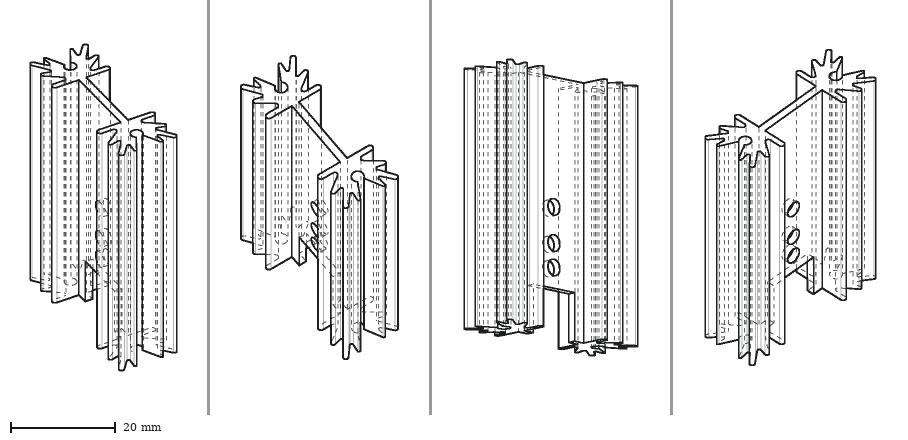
import cadquery as cq
import math

LENGTH = 50.8
WIDTH = 34.9
DEPTH = 12.7
HALF_WIDTH = WIDTH / 2
HALF_DEPTH = DEPTH / 2

WEB_THICKNESS = 1.65
COLUMN_SPACING = 15.95
NOTCH_WIDTH = 11.1
NOTCH_HEIGHT = 9.5
WEB_HOLE_DIAMETER = 3.2
WEB_HOLE_HEIGHTS = (13.55, 18.35, 25.4)

CHANNEL_X = -12.65
CHANNEL_RADIUS = 1.2
MOUTH_HALF_GAP = 0.7

SIDE_TIP_RADIUS = 0.3
SIDE_TIP_Y = 2.9
CORNER_TIP_RADIUS = 0.55
SPUR_TIP_RADIUS = 0.45
SPUR_TIP_X = -12.9
STRAIGHT_FIN_THICKNESS = 1.25
STRAIGHT_TIP_RADIUS = STRAIGHT_FIN_THICKNESS / 2

SMALL_ROOT_RADIUS = 0.35
SIDE_ROOT = (-15.4, 3.35)
SPUR_ROOT = (-13.3, 4.25)
LARGE_ROOT_RADIUS = 0.55
LARGE_ROOT_Y = 3.35

web_half = WEB_THICKNESS / 2
inner_wall_x = -COLUMN_SPACING / 2
straight_fin_x = inner_wall_x - STRAIGHT_TIP_RADIUS
large_root_x = inner_wall_x - STRAIGHT_FIN_THICKNESS - LARGE_ROOT_RADIUS
lip = (CHANNEL_X - math.sqrt(CHANNEL_RADIUS**2 - MOUTH_HALF_GAP**2), MOUTH_HALF_GAP)
web_corner = (inner_wall_x, web_half)

fin_chain = [
    (*lip, 0),
    (-HALF_WIDTH + SIDE_TIP_RADIUS, SIDE_TIP_Y, SIDE_TIP_RADIUS),
    (*SIDE_ROOT, -SMALL_ROOT_RADIUS),
    (-HALF_WIDTH + CORNER_TIP_RADIUS, HALF_DEPTH - CORNER_TIP_RADIUS, CORNER_TIP_RADIUS),
    (*SPUR_ROOT, -SMALL_ROOT_RADIUS),
    (SPUR_TIP_X, HALF_DEPTH - SPUR_TIP_RADIUS, SPUR_TIP_RADIUS),
    (large_root_x, LARGE_ROOT_Y, -LARGE_ROOT_RADIUS),
    (straight_fin_x, HALF_DEPTH - STRAIGHT_TIP_RADIUS, STRAIGHT_TIP_RADIUS),
    (*web_corner, 0),
]


def tangent_normal(start, end):
    """Angle of the left-hand normal of the line tangent to two signed circles."""
    dx = end[0] - start[0]
    dy = end[1] - start[1]
    return math.atan2(dy, dx) + math.acos((start[2] - end[2]) / math.hypot(dx, dy))


def point_on(corner, angle):
    x, y, radius = corner
    return (x + radius * math.cos(angle), y + radius * math.sin(angle))


def quarter_section():
    """Extruded left rear quarter: fins, half of the web and half of the channel."""
    outline = cq.Workplane("XY").moveTo(*lip)
    for before, corner, after in zip(fin_chain, fin_chain[1:], fin_chain[2:]):
        angle_in = tangent_normal(before, corner)
        angle_out = tangent_normal(corner, after)
        turn = (angle_out - angle_in) % math.tau
        if corner[2] > 0:
            turn -= math.tau
        outline = outline.lineTo(*point_on(corner, angle_in)).threePointArc(
            point_on(corner, angle_in + turn / 2), point_on(corner, angle_out)
        )
    channel_top = (CHANNEL_X, CHANNEL_RADIUS)
    outline = outline.lineTo(*web_corner).lineTo(0, web_half).lineTo(0, 0)
    outline = outline.lineTo(CHANNEL_X + CHANNEL_RADIUS, 0).threePointArc(channel_top, lip)
    return outline.close().extrude(LENGTH)


def web_holes():
    centres = [(0, height) for height in WEB_HOLE_HEIGHTS]
    holes = cq.Workplane("XZ").pushPoints(centres).circle(WEB_HOLE_DIAMETER / 2)
    return holes.extrude(web_half, both=True)


def web_notch():
    return cq.Workplane("XY").rect(NOTCH_WIDTH, WEB_THICKNESS).extrude(NOTCH_HEIGHT)


quarter = quarter_section()
column = quarter.union(quarter.mirror("XZ"))
profile = column.union(column.mirror("YZ")).clean()
result = profile.cut(web_holes()).cut(web_notch())